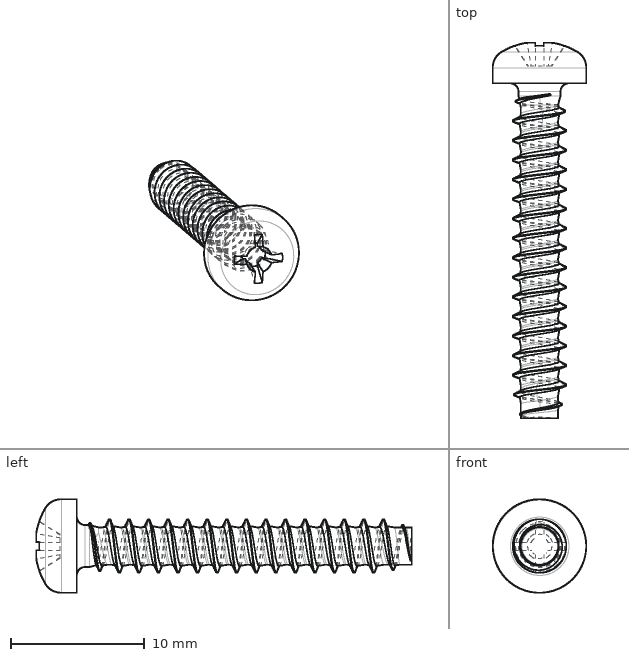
import math

import cadquery as cq


HEAD_RADIUS = 3.5
RIM_HEIGHT = 1.18
RIM_EDGE_RADIUS = 0.05
SHOULDER_RADIUS = 1.385
SHOULDER_ANGLE = math.radians(59.7)
SHOULDER_CENTRE = HEAD_RADIUS - SHOULDER_RADIUS

DOME_RADIUS = SHOULDER_RADIUS + SHOULDER_CENTRE / math.cos(SHOULDER_ANGLE)
DOME_CENTRE = (DOME_RADIUS - SHOULDER_RADIUS) * math.sin(SHOULDER_ANGLE) - RIM_HEIGHT
DOME_TOP = DOME_CENTRE - DOME_RADIUS

WING_WIDTH = 0.6
WING_MOUTH_RADIUS = 1.85
WING_FLOOR_RADIUS = 0.9
HUB_MOUTH_RADIUS = 0.95
HUB_FLOOR_RADIUS = 0.7
RECESS_FLOOR = -1.3
RECESS_MOUTH = -2.8

LENGTH = 25.0
CORE_RADIUS = 1.4
NECK_RADIUS = 1.58
NECK_FILLET = 0.6
NECK_END = 0.93
NECK_CONE_END = 1.6
DISH_RADIUS = 1.33
DISH_DEPTH = 0.13

PITCH = 1.46
CREST_RADIUS = 2.0
CREST_HEIGHT = CREST_RADIUS - CORE_RADIUS
THREAD_DATUM = 0.97
LEAD_IN_START = 0.85
FULL_START = 2.4
FULL_END = 22.9
LEAD_OUT_END = 24.9
LEAD_IN_SCALE = 0.5
LEAD_OUT_SCALE = 0.05
BURIED_DEPTH = 0.15

THREAD_PROFILE = [
    (-0.60, -BURIED_DEPTH),
    (-0.60, -0.01),
    (-0.29, 0.05),
    (-0.03, CREST_HEIGHT),
    (0.03, CREST_HEIGHT),
    (0.22, 0.10),
    (0.84, -0.01),
    (0.84, -BURIED_DEPTH),
]


def on_arc(centre_radius, centre_height, arc_radius, angle):
    """Point (radius, height) on an arc, its angle turning from outwards towards the head's top."""
    return (
        centre_radius + arc_radius * math.cos(angle),
        centre_height - arc_radius * math.sin(angle),
    )


def make_body():
    """Head, neck and core, revolved from one half-section."""
    fillet_centre = (NECK_RADIUS + NECK_FILLET, NECK_FILLET)
    diagonal = math.radians(45)
    edge_centre = HEAD_RADIUS - RIM_EDGE_RADIUS
    dish_sphere_radius = (DISH_RADIUS**2 + DISH_DEPTH**2) / (2 * DISH_DEPTH)
    dish_centre = LENGTH - DISH_DEPTH + dish_sphere_radius
    dish_middle_angle = (math.pi / 2 + math.acos(DISH_RADIUS / dish_sphere_radius)) / 2
    dish_middle = on_arc(0, dish_centre, dish_sphere_radius, dish_middle_angle)
    half_section = (
        cq.Workplane("XZ")
        .moveTo(0, DOME_TOP)
        .threePointArc(
            on_arc(0, DOME_CENTRE, DOME_RADIUS, (math.pi / 2 + SHOULDER_ANGLE) / 2),
            on_arc(0, DOME_CENTRE, DOME_RADIUS, SHOULDER_ANGLE),
        )
        .threePointArc(
            on_arc(SHOULDER_CENTRE, -RIM_HEIGHT, SHOULDER_RADIUS, SHOULDER_ANGLE / 2),
            (HEAD_RADIUS, -RIM_HEIGHT),
        )
        .lineTo(HEAD_RADIUS, -RIM_EDGE_RADIUS)
        .threePointArc(
            on_arc(edge_centre, -RIM_EDGE_RADIUS, RIM_EDGE_RADIUS, -diagonal),
            (edge_centre, 0),
        )
        .lineTo(fillet_centre[0], 0)
        .threePointArc(
            on_arc(*fillet_centre, NECK_FILLET, math.pi - diagonal),
            (NECK_RADIUS, NECK_FILLET),
        )
        .lineTo(NECK_RADIUS, NECK_END)
        .lineTo(CORE_RADIUS, NECK_CONE_END)
        .lineTo(CORE_RADIUS, LENGTH)
        .lineTo(DISH_RADIUS, LENGTH)
        .threePointArc(dish_middle, (0, LENGTH - DISH_DEPTH))
        .close()
    )
    return half_section.revolve(360, (0, 0, 0), (0, 1, 0))


def make_frustum(floor_radius, mouth_radius):
    """Tapered plug of the recess, widening from its floor until clear of the dome."""
    widening = (mouth_radius - floor_radius) / (RECESS_FLOOR - RECESS_MOUTH)
    open_radius = floor_radius + widening * (RECESS_FLOOR - DOME_TOP)
    return cq.Workplane("XY").add(
        cq.Solid.makeCone(
            floor_radius,
            open_radius,
            RECESS_FLOOR - DOME_TOP,
            pnt=cq.Vector(0, 0, RECESS_FLOOR),
            dir=cq.Vector(0, 0, -1),
        )
    )


def make_recess():
    """Four straight wings around a conical hub."""
    cross_length = 2 * HEAD_RADIUS
    cross = (
        cq.Workplane("XY", origin=(0, 0, DOME_TOP))
        .rect(cross_length, WING_WIDTH)
        .extrude(RECESS_FLOOR - DOME_TOP)
    )
    cross = cross.union(cross.rotate((0, 0, 0), (0, 0, 1), 90))
    wings = cross.intersect(make_frustum(WING_FLOOR_RADIUS, WING_MOUTH_RADIUS))
    return wings.union(make_frustum(HUB_FLOOR_RADIUS, HUB_MOUTH_RADIUS))


def scaled_profile(height, scale):
    """Thread profile as (height along the axis, radius), shrunk towards the core surface."""
    points = []
    for offset, rise in THREAD_PROFILE:
        kept_rise = rise * scale if rise > 0 else rise
        points.append((height + offset * scale, CORE_RADIUS + kept_rise))
    return points


def thread_angle(height):
    """Direction the thread profile faces at a height, in degrees about the axis."""
    return 360 * (height - THREAD_DATUM) / PITCH


def make_helix(start, end, turns):
    """Helix between two (height, radius) points, on a cone where the radii differ."""
    base = cq.Vector(0, 0, start[0])
    rise = end[0] - start[0]
    if math.isclose(start[1], end[1]):
        wire = cq.Wire.makeHelix(rise / turns, rise, start[1], base)
    else:
        half_angle = math.atan2(end[1] - start[1], rise)
        slant = rise / math.cos(half_angle)
        wire = cq.Wire.makeHelix(slant / turns, slant, start[1], base, angle=math.degrees(half_angle))
    return wire.Edges()[0]


def make_thread_part(start_height, start_scale, end_height, end_scale):
    """Stretch of thread whose profile changes evenly in size from one end to the other."""
    turns = (end_height - start_height) / PITCH
    starts = scaled_profile(start_height, start_scale)
    ends = scaled_profile(end_height, end_scale)
    edges = [make_helix(start, end, turns) for start, end in zip(starts, ends)]
    faces = []
    for index, edge in enumerate(edges):
        faces.append(cq.Face.makeRuledSurface(edges[index - 1], edge))
    for position in (0, 1):
        corners = [edge.positionAt(position) for edge in edges]
        faces.append(cq.Face.makeFromWires(cq.Wire.makePolygon(corners, close=True)))
    solid = cq.Solid.makeSolid(cq.Shell.makeShell(faces))
    return solid.fix().rotate(cq.Vector(0, 0, 0), cq.Vector(0, 0, 1), thread_angle(start_height))


def make_screw():
    """Body with its cross recess and the three stretches of thread."""
    screw = make_body().cut(make_recess())
    screw = screw.union(make_thread_part(FULL_START, 1, FULL_END, 1))
    screw = screw.union(make_thread_part(LEAD_IN_START, LEAD_IN_SCALE, FULL_START, 1))
    return screw.union(make_thread_part(FULL_END, 1, LEAD_OUT_END, LEAD_OUT_SCALE))


SCREW_PLANE = cq.Plane(origin=(0, 0, 0), xDir=(0, 0, 1), normal=(0, -1, 0))
result = cq.Workplane("XY").add(make_screw().solids().val().moved(cq.Location(SCREW_PLANE)))